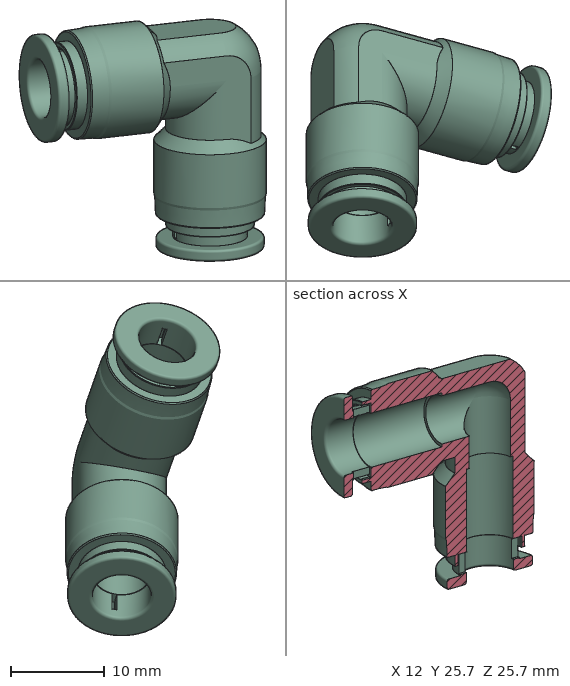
import cadquery as cq

flat_half = 4.75
corner_radius = 5.5
passage_radius = 2.75

overall_length = 25.7
housing_radius = 12.0 / 2
port_end = overall_length - housing_radius
cone_start = 6.5
cone_height = housing_radius - flat_half
ring_start = 13.7
ring_step = 0.28
ring_end = 16.0
sleeve_end = 17.27
flange_thickness = 1.23
flange_start = port_end - flange_thickness

ring_start_radius = 5.9
ring_end_radius = 5.83
ring_chamfer = 0.13
sleeve_radius = 4.73
sleeve_chamfer = 0.08
sleeve_bore_radius = 4.27
collet_radius = 3.98
flange_radius = 5.78
flange_fillet = 0.28

collet_bore_radius = 3.14
socket_radius = 3.08
collet_depth = ring_end
socket_stop = cone_start
mouth_fillet = 0.33
slot_width = 0.51
slot_flange_gap = 0.13
slot_end = flange_start - slot_flange_gap


def along_y(shape):
    """Turn a shape on the -Z arm onto the -Y arm, mirrored in the plane Y = Z."""
    return shape.rotate((0, 0, 0), (1, 0, 0), -90).mirror("XY")


def with_both_arms(shape):
    return shape.union(along_y(shape))


def arm():
    """Arm on -Z: round on the inner (-Y) side, flat with rounded edges on the outer side."""
    length = cone_start + cone_height
    inner = cq.Workplane("XY").circle(flat_half).extrude(-length)
    outer = cq.Workplane("XY").circle(corner_radius).extrude(-length)
    flats = cq.Workplane("XY").box(2 * flat_half, flat_half, length, centered=(True, False, False))
    return inner.union(outer.intersect(flats.translate((0, 0, -length))))


def elbow_corner():
    """Ball joining the rounded edges of both arms, trimmed by the flats."""
    ball = cq.Workplane("XY").sphere(corner_radius)
    flats = cq.Workplane("XY").box(2 * flat_half, flat_half, flat_half, centered=(True, False, False))
    return ball.intersect(flats)


def port():
    """Push-in port on -Z: conical shoulder, housing, tapered ring, open sleeve, collet and flange."""
    profile = [
        (0, cone_start),
        (flat_half, cone_start),
        (housing_radius, cone_start + cone_height),
        (housing_radius, ring_start),
        (ring_start_radius, ring_start + ring_step),
        (ring_end_radius, ring_end - ring_chamfer),
        (ring_end_radius - ring_chamfer, ring_end),
        (sleeve_radius, ring_end),
        (sleeve_radius, sleeve_end - sleeve_chamfer),
        (sleeve_radius - sleeve_chamfer, sleeve_end),
        (sleeve_bore_radius, sleeve_end),
        (sleeve_bore_radius, ring_end),
        (collet_radius, ring_end),
        (collet_radius, flange_start),
        (0, flange_start),
    ]
    outline = cq.Workplane("XZ").polyline([(radius, -distance) for radius, distance in profile])
    stem = outline.close().revolve(360, (0, 0, 0), (0, 1, 0))
    flange = cq.Workplane("XY").workplane(offset=-port_end).circle(flange_radius).extrude(flange_thickness)
    return stem.union(flange.edges().fillet(flange_fillet))


def passage():
    """Passage on -Z with its wider tube socket, collet bore, rounded mouth and collet slot."""
    bore = cq.Workplane("XY").circle(passage_radius).extrude(-port_end)
    socket = (
        cq.Workplane("XZ")
        .moveTo(0, -socket_stop)
        .lineTo(socket_radius, -socket_stop)
        .lineTo(socket_radius, -collet_depth)
        .lineTo(collet_bore_radius, -collet_depth)
        .lineTo(collet_bore_radius, -port_end + mouth_fillet)
        .radiusArc((collet_bore_radius + mouth_fillet, -port_end), -mouth_fillet)
        .lineTo(0, -port_end)
        .close()
        .revolve(360, (0, 0, 0), (0, 1, 0))
    )
    slot = cq.Workplane("XY").workplane(offset=-slot_end).rect(slot_width, 2 * sleeve_bore_radius)
    return bore.union(socket).union(slot.extrude(slot_end - collet_depth))


solid_elbow = with_both_arms(arm().union(port())).union(elbow_corner())
hollow = with_both_arms(passage()).union(cq.Workplane("XY").sphere(passage_radius))
result = solid_elbow.cut(hollow)